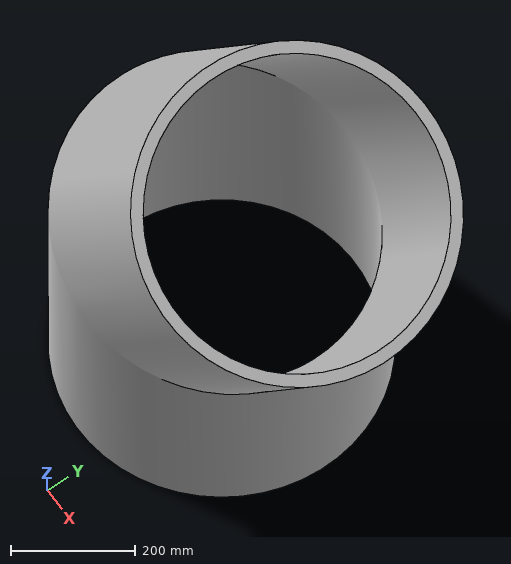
import cadquery as cq
import math

outer_diameter = 560.0
inner_diameter = 517.2
bend_angle = 30.0
shortest_side = 350.0

bend = math.radians(bend_angle)
leg_length = shortest_side + outer_diameter / 2 * math.tan(bend / 2)

base_center = (0, 0)
bend_point = (0, leg_length)
top_center = (
    leg_length * math.sin(bend),
    leg_length * (1 + math.cos(bend)),
)
centerline = cq.Workplane("XZ").polyline([base_center, bend_point, top_center])

ring_section = cq.Workplane("XY").circle(outer_diameter / 2).circle(inner_diameter / 2)
result = ring_section.sweep(centerline, transition="right")